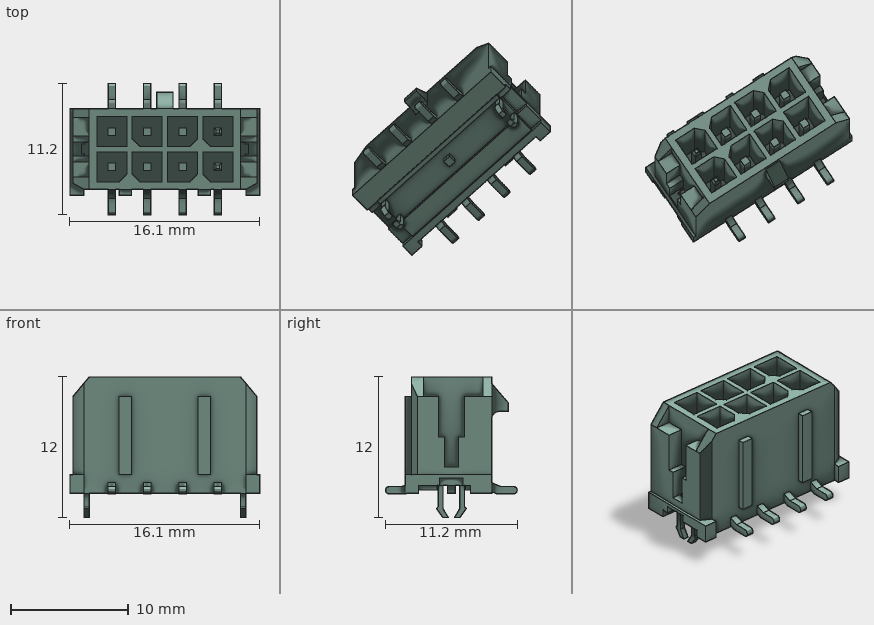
import cadquery as cq

body_half_length = 7.825
body_front = -3.41
body_back = 3.45
body_top = 9.9
top_half_length = 6.43
shoulder_z = 8.23
corner_x = 6.89
corner_y = -2.89

foot_half_length = 8.075
foot_front = -3.925
foot_height = 1.59

channel_steps = (
    (-2.38, 2.69, shoulder_z),
    (-1.1, 1.1, 4.77),
    (-0.59, 0.59, 2.25),
)

hole_floor = foot_height
hole_wide_half_width = 0.56
hole_wide_x = 6.83
hole_narrow_half_width = 0.42
hole_narrow_x = 7.10

pitch = 3.0
columns = 4
lead_width = 0.64
pin_tip_width = 0.28
pin_taper = 0.5
pin_top = 7.5
cavity_width = 2.55
cavity_floor = 2.25
cavity_chamfer = 0.65
back_row_keys = (0, -1, 1, -1)
front_row_keys = (1, -1, 1, -1)
tapered_column = columns - 1

tail_reach = 5.6
tail_bottom = -0.06
tail_thickness = 0.64
tail_top = tail_bottom + tail_thickness
tail_radius = tail_thickness / 2
tail_bend_top = 4.21
tail_bend_bottom = 3.89
tail_slope = 0.4
tail_root = 3.0

rib_x = 3.355
rib_width = 1.05

latch_width = 1.41
latch_reach = 4.84
latch_ramp_top = 9.31
latch_ramp_bottom = 7.69
latch_bottom = 6.96
latch_fillet = 0.69
latch_fillet_start = 4.11
latch_root_z = 6.48

relief_front = -2.79
relief_back = 1.62
relief_height = 0.26
groove_half_width = 1.18
groove_height = 0.67
window_half_width = 1.0
window_top = 1.29
end_notch_x = 6.95
post_width = 0.68

clip_inner_x = 6.41
clip_outer_x = corner_x
clip_bottom = -2.06
leg_inner_y = 0.71
leg_outer_y = 1.13
barb_y = 1.27
barb_top_z = -1.15
barb_z = -1.3
toe_outer_y = 0.73
toe_inner_y = 0.25


def box(x_range, y_range, z_range):
    """Axis-aligned block between the given limits."""
    size = [high - low for low, high in (x_range, y_range, z_range)]
    corner = (x_range[0], y_range[0], z_range[0])
    return cq.Workplane("XY").box(*size, centered=False).translate(corner)


def both_ends(shape):
    """The shape on the +X end together with its mirror image on the -X end."""
    return shape.union(shape.mirror("YZ"))


def column_x(column):
    return (column - (columns - 1) / 2) * pitch


def extrude_along_x(profile, width, center_x):
    return profile.extrude(width / 2, both=True).translate((center_x, 0, 0))


def make_block():
    plan = (
        cq.Workplane("XY")
        .polyline([
            (-body_half_length, body_back),
            (body_half_length, body_back),
            (body_half_length, corner_y),
            (corner_x, body_front),
            (-corner_x, body_front),
            (-body_half_length, corner_y),
        ])
        .close()
        .extrude(body_top)
    )
    elevation = (
        cq.Workplane("XZ", origin=(0, body_back, 0))
        .polyline([
            (-body_half_length, 0),
            (body_half_length, 0),
            (body_half_length, shoulder_z),
            (top_half_length, body_top),
            (-top_half_length, body_top),
            (-body_half_length, shoulder_z),
        ])
        .close()
        .extrude(body_back - body_front)
    )
    foot = box((corner_x, foot_half_length), (foot_front, body_back), (0, foot_height))
    return plan.intersect(elevation).union(both_ends(foot))


def make_end_channels():
    x_range = (top_half_length, foot_half_length)
    channel = cq.Workplane("XY")
    for y_start, y_end, floor in channel_steps:
        channel = channel.union(box(x_range, (y_start, y_end), (floor, body_top)))
    for half_width, outer_x in (
        (hole_wide_half_width, hole_wide_x),
        (hole_narrow_half_width, hole_narrow_x),
    ):
        hole = box(
            (top_half_length, outer_x),
            (-half_width, half_width),
            (hole_floor, body_top),
        )
        channel = channel.union(hole)
    return both_ends(channel)


def make_cavity(center_x, center_y, key):
    cavity = (
        cq.Workplane("XY", origin=(center_x, center_y, cavity_floor))
        .rect(cavity_width, cavity_width)
        .extrude(body_top - cavity_floor)
    )
    if key < 0:
        cavity = cavity.edges("|Z and <X and <Y").chamfer(cavity_chamfer)
    elif key > 0:
        cavity = cavity.edges("|Z and >X and <Y").chamfer(cavity_chamfer)
    return cavity


def make_pin(center_x, center_y, tapered):
    straight_top = pin_top - pin_taper if tapered else pin_top
    pin = (
        cq.Workplane("XY", origin=(center_x, center_y, cavity_floor))
        .rect(lead_width, lead_width)
        .extrude(straight_top - cavity_floor)
    )
    if tapered:
        tip = (
            cq.Workplane("XY", origin=(center_x, center_y, straight_top))
            .rect(lead_width, lead_width)
            .workplane(offset=pin_taper)
            .rect(pin_tip_width, pin_tip_width)
            .loft()
        )
        pin = pin.union(tip)
    return pin


def make_tail(center_x):
    """Solder tail on the back side, with a fully rounded end."""
    root_top = tail_top + tail_slope * (tail_bend_top - tail_root)
    root_bottom = tail_bottom + tail_slope * (tail_bend_bottom - tail_root)
    round_start = tail_reach - tail_radius
    profile = (
        cq.Workplane("YZ")
        .moveTo(tail_root, root_bottom)
        .lineTo(tail_bend_bottom, tail_bottom)
        .lineTo(round_start, tail_bottom)
        .threePointArc((tail_reach, tail_bottom + tail_radius), (round_start, tail_top))
        .lineTo(tail_bend_top, tail_top)
        .lineTo(tail_root, root_top)
        .close()
    )
    return extrude_along_x(profile, lead_width, center_x)


def make_rib(center_x):
    return box(
        (center_x - rib_width / 2, center_x + rib_width / 2),
        (foot_front, body_front),
        (foot_height, shoulder_z),
    )


def make_latch():
    profile = (
        cq.Workplane("YZ")
        .moveTo(body_back, latch_root_z)
        .radiusArc((latch_fillet_start, latch_bottom), latch_fillet)
        .lineTo(latch_reach, latch_bottom)
        .lineTo(latch_reach, latch_ramp_bottom)
        .lineTo(body_back, latch_ramp_top)
        .close()
    )
    return extrude_along_x(profile, latch_width, 0)


def make_underside_relief():
    """Shallow recess under the whole length, a deeper groove, and end notches."""
    full_length = (-foot_half_length, foot_half_length)
    recess = box(full_length, (relief_front, relief_back), (0, relief_height))
    groove = box(full_length, (-groove_half_width, groove_half_width), (0, groove_height))
    foot_range = (end_notch_x, foot_half_length)
    notch = box(foot_range, (relief_front, relief_back), (0, groove_height))
    window = box(foot_range, (-window_half_width, window_half_width), (0, window_top))
    return recess.union(groove).union(both_ends(notch.union(window)))


def make_post():
    """Square standoff at the middle of the underside groove."""
    half = post_width / 2
    return box((-half, half), (-half, half), (0, groove_height))


def make_clip_leg():
    return (
        cq.Workplane("YZ", origin=(clip_inner_x, 0, 0))
        .polyline([
            (leg_inner_y, groove_height),
            (leg_outer_y, groove_height),
            (leg_outer_y, barb_top_z),
            (barb_y, barb_z),
            (toe_outer_y, clip_bottom),
            (toe_inner_y, clip_bottom),
            (leg_inner_y, barb_z),
        ])
        .close()
        .extrude(clip_outer_x - clip_inner_x)
    )


def make_clips():
    leg = make_clip_leg()
    return both_ends(leg.union(leg.mirror("XZ")))


result = make_block()
result = result.cut(make_end_channels())
result = result.cut(make_underside_relief())

for row_y, keys in ((pitch / 2, back_row_keys), (-pitch / 2, front_row_keys)):
    for column, key in enumerate(keys):
        result = result.cut(make_cavity(column_x(column), row_y, key))
        result = result.union(make_pin(column_x(column), row_y, column == tapered_column))

for column in range(columns):
    tail = make_tail(column_x(column))
    result = result.union(tail).union(tail.mirror("XZ"))

for side in (-1, 1):
    result = result.union(make_rib(side * rib_x))

result = result.union(make_latch())
result = result.union(make_post())
result = result.union(make_clips())